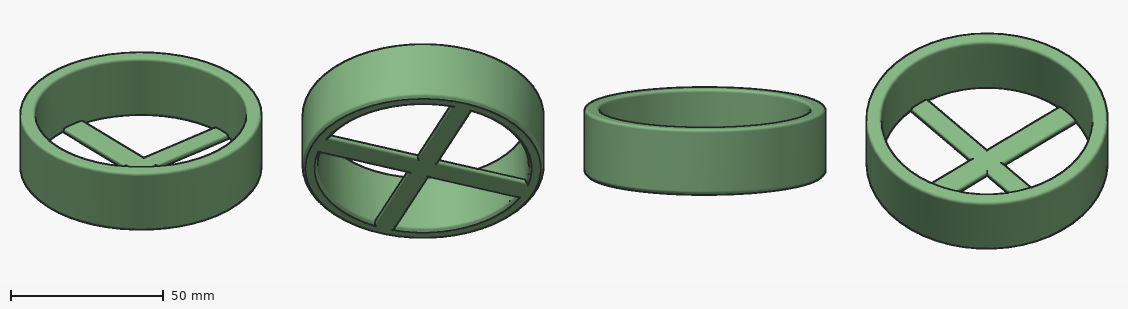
import cadquery as cq
import math

outer_diameter = 79.0
inner_diameter = 69.0
height = 22.0
top_rounding = 1.0
bottom_bevel = 1.0
bevel_blend_radius = 1.0

arm_width_along_x = 8.4
arm_width_along_y = 6.95
cross_thickness = 2.0
arm_rounding = 0.7

outer_radius = outer_diameter / 2
inner_radius = inner_diameter / 2


def make_ring():
    """Revolved wall with rounded top rims and bottom bevels that blend into both sides."""
    tangent_length = bevel_blend_radius * math.tan(math.radians(22.5))
    diagonal_step = tangent_length * math.sqrt(0.5)
    blend_start = bottom_bevel - diagonal_step
    blend_end = bottom_bevel + tangent_length
    shoulder = height - top_rounding

    section = (
        cq.Workplane("XZ")
        .moveTo(inner_radius + bottom_bevel, 0)
        .lineTo(outer_radius - bottom_bevel, 0)
        .lineTo(outer_radius - diagonal_step, blend_start)
        .tangentArcPoint((outer_radius, blend_end), relative=False)
        .lineTo(outer_radius, shoulder)
        .tangentArcPoint((outer_radius - top_rounding, height), relative=False)
        .lineTo(inner_radius + top_rounding, height)
        .tangentArcPoint((inner_radius, shoulder), relative=False)
        .lineTo(inner_radius, blend_end)
        .tangentArcPoint((inner_radius + diagonal_step, blend_start), relative=False)
        .close()
    )
    return section.revolve(360, (0, 0, 0), (0, 1, 0))


def make_cross():
    """Two crossing arms with rounded edges, ending inside the ring wall."""
    length = outer_radius + inner_radius
    arm_x = cq.Workplane("XY").rect(length, arm_width_along_x).extrude(cross_thickness)
    arm_y = cq.Workplane("XY").rect(arm_width_along_y, length).extrude(cross_thickness)
    return arm_x.union(arm_y).faces("<Z or >Z").edges().fillet(arm_rounding)


result = make_ring().union(make_cross())